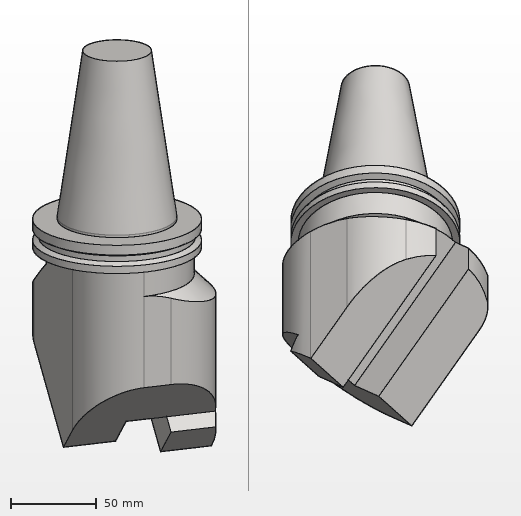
import cadquery as cq
import math

shank_length = 103.2
collar_height = 1.5
gauge_diameter = 69.8
taper_ratio = 7 / 24
flange_radius = 98.5 / 2
flange_thickness = 17.3
groove_radius = 91.4 / 2
upper_lip = 6.0
groove_width = 7.0
groove_bevel = 1.7

nose_radius = 67.3
front_y = -32.5
back_y = 57.0
right_x = 45.0
front_left_radius = 11.6
front_right_radius = -front_y
back_radius = 40.0

neck_radius = right_x
neck_bottom_z = -33.7
tip_z = -137.2
bottom_z = shank_length - 247.5

slot_front_y = 0
slot_back_y = 25.3
slot_depth = 24.8
key_x = 4.7


def make_shank():
    """Tapered shank and grooved flange revolved about Z."""
    gauge_radius = gauge_diameter / 2
    tip_radius = gauge_radius - (shank_length - collar_height) * taper_ratio / 2
    groove_bottom = upper_lip + groove_width
    profile = [
        (0, shank_length),
        (tip_radius, shank_length),
        (gauge_radius, collar_height),
        (gauge_radius, 0),
        (flange_radius, 0),
        (flange_radius, -upper_lip),
        (groove_radius, -upper_lip - groove_bevel),
        (groove_radius, -groove_bottom + groove_bevel),
        (flange_radius, -groove_bottom),
        (flange_radius, -flange_thickness),
        (0, -flange_thickness),
    ]
    return cq.Workplane("XZ").polyline(profile).close().revolve(360, (0, 0), (0, 1))


def nose_blend(flat_y, radius):
    """Nose tangent point, middle and flat tangent point of a blend between nose and flat."""
    side = math.copysign(1, flat_y)
    center_y = flat_y - side * radius
    center_x = -math.sqrt((nose_radius - radius) ** 2 - center_y**2)
    start_angle = math.atan2(center_y, center_x)
    nose_scale = nose_radius / (nose_radius - radius)
    flat_angle = side * math.pi / 2
    middle_angle = (start_angle + flat_angle) / 2
    on_nose = (center_x * nose_scale, center_y * nose_scale)
    middle = (center_x + radius * math.cos(middle_angle), center_y + radius * math.sin(middle_angle))
    return on_nose, middle, (center_x, flat_y)


def make_head_plan():
    """Vertical prism with the plan outline of the head."""
    front_nose, front_middle, front_flat = nose_blend(front_y, front_left_radius)
    back_nose, back_middle, back_flat = nose_blend(back_y, back_radius)
    diagonal = math.sqrt(0.5)
    front_center_x = right_x - front_right_radius
    back_center = (right_x - back_radius, back_y - back_radius)
    return (
        cq.Workplane("XY", origin=(0, 0, bottom_z))
        .moveTo(*front_flat)
        .lineTo(front_center_x, front_y)
        .threePointArc(
            (front_center_x + front_right_radius * diagonal, -front_right_radius * diagonal),
            (right_x, 0),
        )
        .lineTo(right_x, back_center[1])
        .threePointArc(
            (back_center[0] + back_radius * diagonal, back_center[1] + back_radius * diagonal),
            (back_center[0], back_y),
        )
        .lineTo(*back_flat)
        .threePointArc(back_middle, back_nose)
        .threePointArc((-nose_radius, 0), front_nose)
        .threePointArc(front_middle, front_flat)
        .close()
        .extrude(-flange_thickness - bottom_z)
    )


def make_shoulder():
    """Round neck widening through a 45 degree cone to the nose radius."""
    cone_bottom_z = neck_bottom_z - (nose_radius - neck_radius)
    profile = [
        (0, -flange_thickness),
        (neck_radius, -flange_thickness),
        (neck_radius, neck_bottom_z),
        (nose_radius, cone_bottom_z),
        (nose_radius, bottom_z),
        (0, bottom_z),
    ]
    return cq.Workplane("XZ").polyline(profile).close().revolve(360, (0, 0), (0, 1))


def extrude_along_y(points, y_start, y_end):
    """Prism of an XZ outline between two Y positions."""
    plane = cq.Workplane("XZ", origin=(0, y_start, 0))
    return plane.polyline(points).close().extrude(y_start - y_end)


def make_head():
    """Head with a pointed lower end, a slot in the left face and a key on the right face."""
    key_drop = tip_z - bottom_z
    tip_x = key_x - key_drop
    slot_step = slot_depth / math.sqrt(2)
    reach = 2 * nose_radius

    wedge = extrude_along_y(
        [(tip_x, tip_z), (tip_x + reach, tip_z + reach), (tip_x - reach, tip_z + reach)],
        front_y,
        back_y,
    )
    slot = extrude_along_y(
        [
            (tip_x, tip_z),
            (tip_x + slot_step, tip_z + slot_step),
            (tip_x + slot_step - reach, tip_z + slot_step + reach),
            (tip_x - reach, tip_z + reach),
        ],
        slot_front_y,
        slot_back_y,
    )
    key = extrude_along_y(
        [
            (tip_x, tip_z),
            (key_x, bottom_z),
            (key_x + slot_step, bottom_z + slot_step),
            (tip_x + slot_step, tip_z + slot_step),
        ],
        slot_back_y,
        back_y,
    )
    lower_end = wedge.cut(slot).union(key)
    return make_head_plan().intersect(make_shoulder()).intersect(lower_end)


result = make_shank().union(make_head())